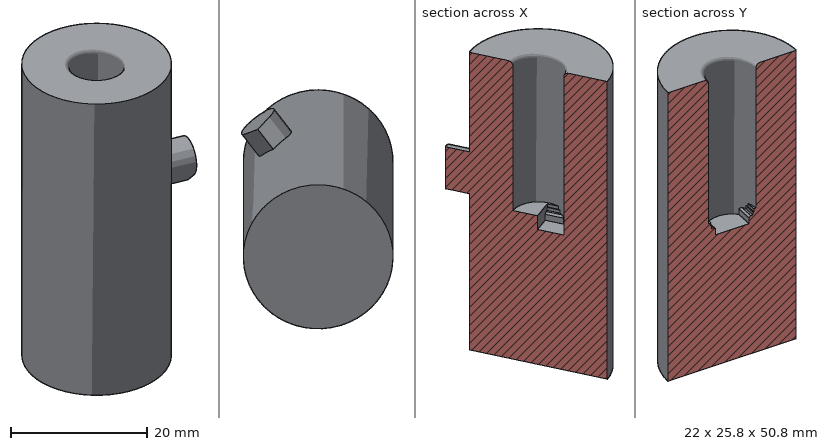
import cadquery as cq
import math

body_height = 50.8
body_diameter = 22.0
body_radius = body_diameter / 2

bore_radius = 4.0
bore_depth = 25.4
mouth_fillet = 0.8
bore_floor = body_height - bore_depth

trench_start_y = 0.1
shoulder_half_width = 3.65
ledge_half_width = 3.5
channel_mouth_half_width = 3.15
channel_half_width = 2.85
step_drop = 0.5
chamfer_drop = channel_mouth_half_width - channel_half_width
channel_drop = 1.0

overall_depth = 25.8
peg_radius = 3.0
peg_tip_y = overall_depth - body_radius
peg_axis_z = 30.85


def make_body():
    return cq.Workplane("XY").circle(body_radius).extrude(body_height)


def make_peg():
    """Teardrop prism along Y: a round top closed by two 45 degree flats."""
    tangent = peg_radius * math.sqrt(0.5)
    point_drop = peg_radius * math.sqrt(2)
    teardrop = (
        cq.Workplane("XZ", origin=(0, peg_tip_y, peg_axis_z))
        .moveTo(-tangent, -tangent)
        .threePointArc((0, peg_radius), (tangent, -tangent))
        .lineTo(0, -point_drop)
        .close()
    )
    return teardrop.extrude(peg_tip_y)


def make_bore():
    return cq.Workplane("XY", origin=(0, 0, bore_floor)).circle(bore_radius).extrude(bore_depth)


def make_trench():
    """Stepped channel along Y, kept inside the circle of the bore."""
    first_step = -step_drop
    ledge = first_step - step_drop
    chamfer_foot = ledge - chamfer_drop
    right_side = [
        (shoulder_half_width, 0),
        (shoulder_half_width, first_step),
        (ledge_half_width, first_step),
        (ledge_half_width, ledge),
        (channel_mouth_half_width, ledge),
        (channel_half_width, chamfer_foot),
        (channel_half_width, chamfer_foot - channel_drop),
    ]
    left_side = [(-x, z) for x, z in reversed(right_side)]
    channel = (
        cq.Workplane("XZ", origin=(0, trench_start_y, bore_floor))
        .polyline(right_side + left_side)
        .close()
        .extrude(trench_start_y + bore_radius)
    )
    bore_column = cq.Workplane("XY").circle(bore_radius).extrude(body_height)
    return channel.intersect(bore_column)


def round_mouth(part):
    mouth_edge = cq.selectors.RadiusNthSelector(0)
    return part.faces(">Z").edges(mouth_edge).fillet(mouth_fillet)


drilled = make_body().union(make_peg()).cut(make_bore())
result = round_mouth(drilled).cut(make_trench())